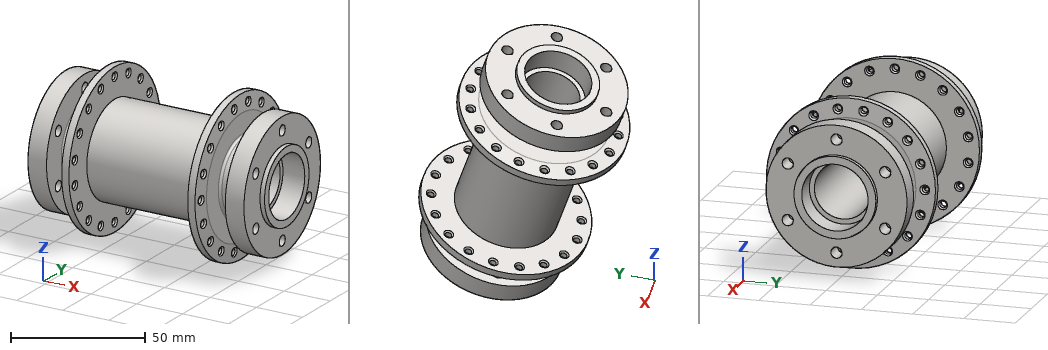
import cadquery as cq
import math

length = 98.0
end_x = length / 2
disc_outer_x = 47.0
disc_inner_x = 38.9
flange_outer_x = 29.5
flange_rim_x = 29.0
flange_inner_x = 25.9

flange_diameter = 66.0
flange_radius = flange_diameter / 2
flange_flat_radius = 25.5
disc_radius = 27.5
barrel_radius = 20.1
neck_radius = 16.0
neck_fillet = 1.0

bore_radius = 11.0
seat_radius = 12.9
seat_depth = 9.5

spoke_count = 18
spoke_stagger = 360 / spoke_count / 2
spoke_circle_radius = 29.0
spoke_radius = 1.3
spoke_sink_radius = 1.9
spoke_sink_depth = spoke_sink_radius - spoke_radius

bolt_count = 6
bolt_circle_radius = 22.0
bolt_radius = 2.2

cut_margin = 1.0


def revolve_about_x(profile):
    """Turn a closed (x, radius) profile a full circle about the X axis."""
    return profile.close().revolve(360, (0, 0, 0), (1, 0, 0))


def cone_about_x(points):
    """Revolve straight-sided (x, radius) points about the X axis."""
    return revolve_about_x(cq.Workplane("XY").polyline(points))


def end_body():
    """Solid +X end of the hub: spoke flange, filleted neck, disc and end lip."""
    arc_dip = neck_fillet * (1 - math.sqrt(0.5))
    fillet_top = neck_radius + neck_fillet
    profile = (
        cq.Workplane("XY")
        .moveTo(flange_inner_x, 0)
        .lineTo(flange_inner_x, flange_radius)
        .lineTo(flange_rim_x, flange_radius)
        .lineTo(flange_outer_x, flange_flat_radius)
        .lineTo(flange_outer_x, fillet_top)
        .threePointArc(
            (flange_outer_x + arc_dip, neck_radius + arc_dip),
            (flange_outer_x + neck_fillet, neck_radius),
        )
        .lineTo(disc_inner_x - neck_fillet, neck_radius)
        .threePointArc(
            (disc_inner_x - arc_dip, neck_radius + arc_dip),
            (disc_inner_x, fillet_top),
        )
        .lineTo(disc_inner_x, disc_radius)
        .lineTo(disc_outer_x, disc_radius)
        .lineTo(disc_outer_x, neck_radius)
        .lineTo(end_x, neck_radius)
        .lineTo(end_x, 0)
    )
    return revolve_about_x(profile)


def cylinder_about_x(start_x, stop_x, radius):
    """Solid cylinder along the X axis."""
    return cq.Workplane("YZ").workplane(offset=start_x).circle(radius).extrude(stop_x - start_x)


def flange_face_x(radius):
    """Position of the conical outer flange face at a given radius."""
    slope = (flange_outer_x - flange_rim_x) / (flange_radius - flange_flat_radius)
    return flange_rim_x + slope * (flange_radius - radius)


def ring_of(cutter, count, circle_radius, start_angle=0.0):
    """Copies of a cutter spaced evenly about the X axis, the first one turned from +Z."""
    lifted = cutter.translate((0, 0, circle_radius)).val()
    angles = [start_angle + i * 360 / count for i in range(count)]
    copies = [lifted.rotate((0, 0, 0), (1, 0, 0), angle) for angle in angles]
    return cq.Workplane("XY").newObject(copies).combine()


def spoke_holes(start_angle):
    """Countersunk holes of the +X flange."""
    inner_x = flange_inner_x
    outer_x = flange_face_x(spoke_circle_radius)
    margin_radius = spoke_sink_radius + cut_margin
    cutter = cone_about_x([
        (inner_x - cut_margin, 0),
        (inner_x - cut_margin, margin_radius),
        (inner_x + spoke_sink_depth, spoke_radius),
        (outer_x - spoke_sink_depth, spoke_radius),
        (outer_x + cut_margin, margin_radius),
        (outer_x + cut_margin, 0),
    ])
    return ring_of(cutter, spoke_count, spoke_circle_radius, start_angle)


def bolt_holes():
    """Plain through holes of the +X disc."""
    cutter = cylinder_about_x(disc_inner_x - cut_margin, disc_outer_x + cut_margin, bolt_radius)
    return ring_of(cutter, bolt_count, bolt_circle_radius)


def hub_end(spoke_start_angle):
    """+X end of the hub with its holes and bearing seat."""
    seat = cylinder_about_x(end_x - seat_depth, end_x + cut_margin, seat_radius)
    return end_body().cut(seat).cut(spoke_holes(spoke_start_angle)).cut(bolt_holes())


right_end = hub_end(spoke_stagger)
left_end = hub_end(0).mirror("YZ")
barrel = cylinder_about_x(-flange_inner_x, flange_inner_x, barrel_radius)
bore = cylinder_about_x(-end_x, end_x, bore_radius)

result = barrel.union(right_end).union(left_end).cut(bore)